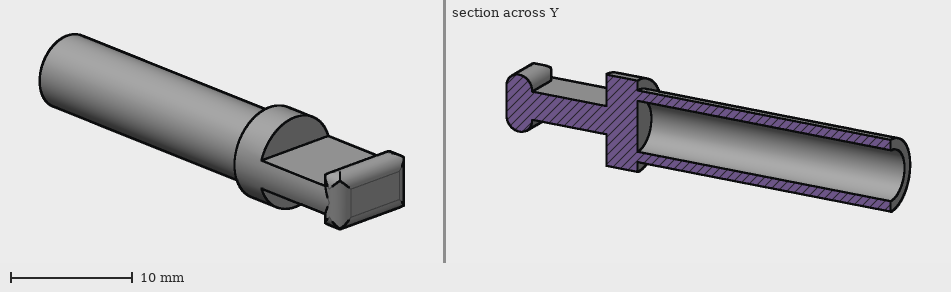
import cadquery as cq

total_length = 36.5
collar_diameter = 8.0

tube_diameter = 6.3
bore_diameter = 4.4
tube_length = 24.0
bore_depth = tube_length

collar_length = 3.0
blade_thickness = 2.5

head_length = 2.5
head_width = collar_diameter
head_height = 5.0
head_radius = head_length / 2

collar_end = tube_length + collar_length
head_center_x = total_length - head_length / 2
blade_length = head_center_x - collar_end


def cylinder_along_x(diameter, start, length):
    """Solid cylinder on the X axis, beginning at X = start."""
    return cq.Workplane("YZ", origin=(start, 0, 0)).circle(diameter / 2).extrude(length)


def make_tube():
    """Tube with a blind bore that stops at the collar."""
    outside = cylinder_along_x(tube_diameter, 0, tube_length)
    bore = cylinder_along_x(bore_diameter, 0, bore_depth)
    return outside.cut(bore)


def make_blade():
    """Collar-diameter cylinder flattened above and below."""
    round_bar = cylinder_along_x(collar_diameter, collar_end, blade_length)
    slab = cq.Workplane("XY").box(blade_length, collar_diameter, blade_thickness)
    slab = slab.translate((collar_end + blade_length / 2, 0, 0))
    return round_bar.intersect(slab)


def make_head():
    """Crossbar whose rounded outlines along X, Y and Z meet in mitred corners."""
    head = (
        cq.Workplane("XY")
        .slot2D(head_width, head_length, angle=90)
        .extrude(head_height / 2, both=True)
    )
    side_profile = (
        cq.Workplane("XZ")
        .slot2D(head_height, head_length, angle=90)
        .extrude(head_width / 2, both=True)
    )
    end_profile = (
        cq.Workplane("YZ")
        .rect(head_width, head_height)
        .extrude(head_length / 2, both=True)
        .edges("|X")
        .fillet(head_radius)
    )
    head = head.intersect(side_profile).intersect(end_profile)
    return head.translate((head_center_x, 0, 0))


collar = cylinder_along_x(collar_diameter, tube_length, collar_length)
result = make_tube().union(collar).union(make_blade()).union(make_head())